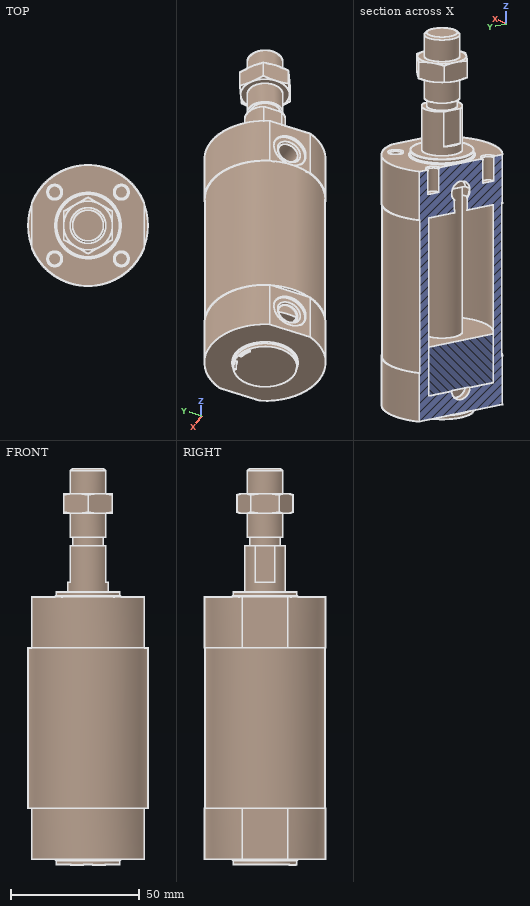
import cadquery as cq
import math

cap_base_z = 2.3
cap_height = 20.0
tube_length = 62.6
tube_base_z = cap_base_z + cap_height
tube_top_z = tube_base_z + tube_length
cap_top_z = tube_top_z + cap_height

cap_diameter = 47.5
tube_diameter = 47.0
cap_flat_offset = 22.0
boss_diameter = 25.0
boss_height = 2.0
boss_flare = 0.5
boss_chamfer = 0.23

foot_inner_radius = 11.3
foot_outer_radius = 12.2
foot_start_angle = 9
foot_end_angle = 33
foot_base_z = 0

upper_port_z = cap_top_z - 11.8
lower_port_z = cap_base_z + 9.9
port_diameter = 8.4
port_mouth_diameter = 9.9
port_chamfer = (port_mouth_diameter - port_diameter) / 2
port_depth = 12.0
spotface_diameter = 14.0
spotface_depth = 1.0

mount_hole_offset = 13.0
mount_hole_diameter = 5.0
mount_mouth_diameter = 6.0
mount_hole_depth = 10.0

bore_diameter = 40.0
bore_base_z = lower_port_z
bore_top_z = tube_top_z
neck_diameter = 26.7
neck_top_z = upper_port_z + 0.6

rod_top_z = 155
rod_diameter = 16.0
piston_height = 20.0
shoulder_z = 125.0
rod_flat_width = 14.0
rod_flat_base_z = 110.7
undercut_diameter = 12.1
undercut_height = 3.3
thread_diameter = 14.0
thread_chamfer = 1.0

nut_base_z = 137.5
nut_height = 7.8
nut_width = 19.0
nut_chamfer_angle = 20


def cylinder(diameter, base_z, top_z):
    """Upright cylinder on the Z axis between two levels."""
    return cq.Workplane("XY").workplane(offset=base_z).circle(diameter / 2).extrude(top_z - base_z)


def revolve_profile(points):
    """Solid turned about the Z axis from a list of (radius, z) points."""
    return cq.Workplane("XZ").polyline(points).close().revolve(360, (0, 0, 0), (0, 1, 0))


def end_cap(base_z):
    """Round end cap with a flat on its -X and +X sides."""
    round_cap = cylinder(cap_diameter, base_z, base_z + cap_height)
    flats = cq.Workplane("XY").box(2 * cap_flat_offset, cap_diameter, cap_height, centered=(True, True, False))
    return round_cap.intersect(flats.translate((0, 0, base_z)))


def boss(face_z, direction):
    """Boss with a flared root on a cap face; direction is +1 upward or -1 downward."""
    radius = boss_diameter / 2
    return revolve_profile([
        (0, face_z),
        (radius + boss_flare, face_z),
        (radius, face_z + direction * boss_flare),
        (radius, face_z + direction * boss_height),
        (0, face_z + direction * boss_height),
    ])


def foot(side):
    """Arc-shaped foot under the lower boss; side is +1 for +X or -1 for -X."""
    def point(radius, angle):
        turn = math.radians(angle)
        return (side * radius * math.sin(turn), radius * math.cos(turn))

    middle_angle = (foot_start_angle + foot_end_angle) / 2
    return (
        cq.Workplane("XY").workplane(offset=foot_base_z)
        .moveTo(*point(foot_inner_radius, foot_start_angle))
        .lineTo(*point(foot_outer_radius, foot_start_angle))
        .threePointArc(point(foot_outer_radius, middle_angle), point(foot_outer_radius, foot_end_angle))
        .lineTo(*point(foot_inner_radius, foot_end_angle))
        .threePointArc(point(foot_inner_radius, middle_angle), point(foot_inner_radius, foot_start_angle))
        .close()
        .extrude(cap_base_z - foot_base_z)
    )


def port_cutter(port_z):
    """Spotface, chamfered mouth and flat-bottomed hole, going in from the -X flat."""
    chamfer_end_depth = spotface_depth + port_chamfer
    profile = [
        (0, 0),
        (spotface_diameter / 2, 0),
        (spotface_diameter / 2, spotface_depth),
        (port_mouth_diameter / 2, spotface_depth),
        (port_diameter / 2, chamfer_end_depth),
        (port_diameter / 2, port_depth),
        (0, port_depth),
    ]
    cutter = revolve_profile(profile).rotate((0, 0, 0), (0, 1, 0), 90)
    return cutter.translate((-cap_flat_offset, 0, port_z))


def mount_hole_cutter():
    """Four blind holes with chamfered mouths in the top face of the upper cap."""
    chamfer = (mount_mouth_diameter - mount_hole_diameter) / 2
    hole = revolve_profile([
        (0, cap_top_z),
        (mount_mouth_diameter / 2, cap_top_z),
        (mount_hole_diameter / 2, cap_top_z - chamfer),
        (mount_hole_diameter / 2, cap_top_z - mount_hole_depth),
        (0, cap_top_z - mount_hole_depth),
    ]).val()
    spacing = 2 * mount_hole_offset
    return cq.Workplane("XY").rarray(spacing, spacing, 2, 2).eachpoint(lambda place: hole.moved(place))


def make_housing():
    """Tube between two end caps, with ports, mounting holes and the inner chamber."""
    housing = cylinder(tube_diameter, tube_base_z, tube_top_z)
    housing = housing.union(end_cap(cap_base_z)).union(end_cap(tube_top_z))
    upper_boss = boss(cap_top_z, 1).faces(">Z").chamfer(boss_chamfer)
    housing = housing.union(upper_boss).union(boss(cap_base_z, -1))
    for side in (-1, 1):
        housing = housing.union(foot(side))
    for port_z in (lower_port_z, upper_port_z):
        housing = housing.cut(port_cutter(port_z))
    housing = housing.cut(mount_hole_cutter())
    housing = housing.cut(cylinder(bore_diameter, bore_base_z, bore_top_z))
    housing = housing.cut(cylinder(neck_diameter, bore_top_z, neck_top_z))
    return housing.cut(cylinder(rod_diameter, neck_top_z, cap_top_z + boss_height))


def wrench_flat_cutter():
    """Material outside the two wrench flats on the upper part of the rod."""
    height = shoulder_z - rod_flat_base_z
    outside = cq.Workplane("XY").box(2 * rod_diameter, 2 * rod_diameter, height, centered=(True, True, False))
    between = cq.Workplane("XY").box(rod_flat_width, 2 * rod_diameter, height, centered=(True, True, False))
    return outside.cut(between).translate((0, 0, rod_flat_base_z))


def nut_blank():
    """Hexagon with corners on the Y axis, chamfered at both ends."""
    corner_diameter = nut_width / math.cos(math.radians(30))
    corner_radius = corner_diameter / 2
    flat_radius = nut_width / 2
    nut_top_z = nut_base_z + nut_height
    drop = (corner_radius - flat_radius) * math.tan(math.radians(nut_chamfer_angle))
    hexagon = cq.Workplane("XY").polygon(6, corner_diameter).extrude(nut_height)
    hexagon = hexagon.rotate((0, 0, 0), (0, 0, 1), 90).translate((0, 0, nut_base_z))
    envelope = revolve_profile([
        (0, nut_base_z),
        (flat_radius, nut_base_z),
        (corner_radius, nut_base_z + drop),
        (corner_radius, nut_top_z - drop),
        (flat_radius, nut_top_z),
        (0, nut_top_z),
    ])
    return hexagon.intersect(envelope)


def make_piston_rod():
    """Piston, rod with wrench flats, undercut, threaded end and its nut, as one moving body."""
    rod = cylinder(bore_diameter, bore_base_z, bore_base_z + piston_height)
    shank = cylinder(rod_diameter, bore_base_z, shoulder_z).cut(wrench_flat_cutter())
    thread_base_z = shoulder_z + undercut_height
    threaded_end = cylinder(thread_diameter, thread_base_z, rod_top_z).faces(">Z").chamfer(thread_chamfer)
    rod = rod.union(shank).union(cylinder(undercut_diameter, shoulder_z, thread_base_z))
    return rod.union(threaded_end).union(nut_blank())


housing = make_housing()
piston_rod = make_piston_rod()
result = cq.Compound.makeCompound([housing.val(), piston_rod.val()])